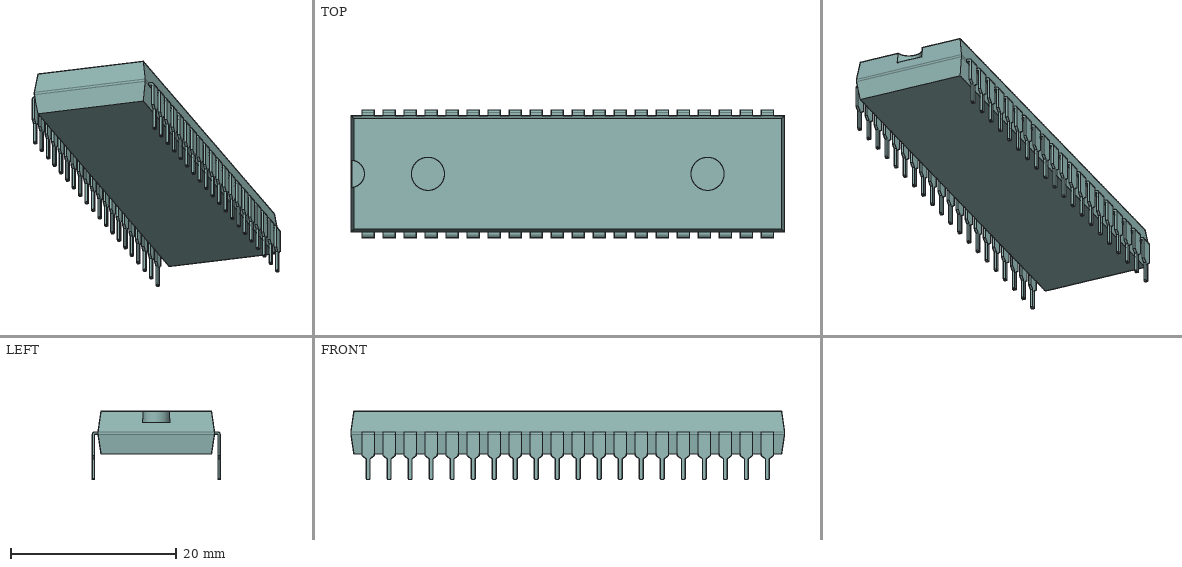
import cadquery as cq

BODY_LENGTH = 52.45
BODY_WIDTH = 14.1
BODY_TAPER = 0.36
UPPER_HEIGHT = 2.5
BAND_HEIGHT = 0.3
LOWER_HEIGHT = 2.4

NOTCH_RADIUS = 1.65
NOTCH_DEPTH = 1.4
MARK_DIAMETER = 4.0
MARK_SPACING = 33.8
MARK_DEPTH = 0.1

PINS_PER_SIDE = 20
PIN_PITCH = 2.54
LEAD_SPAN = 15.49
LEAD_THICKNESS = BAND_HEIGHT
BEND_RADIUS = 0.35
SHOULDER_WIDTH = 1.5
TIP_WIDTH = 0.5
TIP_CHAMFER = 0.12
PIN_HEIGHT = 5.78
SHOULDER_HEIGHT = 2.88
TAPER_HEIGHT = 0.4
LEAD_EMBED = 0.5

BAND_BOTTOM = LOWER_HEIGHT
BAND_TOP = BAND_BOTTOM + BAND_HEIGHT
BODY_TOP = BAND_TOP + UPPER_HEIGHT
PIN_BOTTOM = BAND_TOP - PIN_HEIGHT


def tapered_half(band_face_z, height):
    """Body half narrowing from the band to a flat face; negative height goes down."""
    return (
        cq.Workplane("XY", origin=(0, 0, band_face_z))
        .rect(BODY_LENGTH, BODY_WIDTH)
        .workplane(offset=height)
        .rect(BODY_LENGTH - 2 * BODY_TAPER, BODY_WIDTH - 2 * BODY_TAPER)
        .loft()
    )


def make_body():
    band = (
        cq.Workplane("XY", origin=(0, 0, BAND_BOTTOM))
        .rect(BODY_LENGTH, BODY_WIDTH)
        .extrude(BAND_HEIGHT)
    )
    upper = tapered_half(BAND_TOP, UPPER_HEIGHT)
    lower = tapered_half(BAND_BOTTOM, -LOWER_HEIGHT)
    return band.union(upper).union(lower)


def make_notch():
    return (
        cq.Workplane("XY", origin=(-BODY_LENGTH / 2, 0, BODY_TOP))
        .circle(NOTCH_RADIUS)
        .extrude(-NOTCH_DEPTH)
    )


def make_marks():
    return (
        cq.Workplane("XY", origin=(0, 0, BODY_TOP))
        .rarray(MARK_SPACING, 1, 2, 1)
        .circle(MARK_DIAMETER / 2)
        .extrude(-MARK_DEPTH)
    )


def make_lead():
    """Lead on the +Y side, centred on X = 0: a bent strip trimmed to the pin outline."""
    outer_y = LEAD_SPAN / 2
    inner_y = BODY_WIDTH / 2 - LEAD_EMBED
    inner_radius = BEND_RADIUS - LEAD_THICKNESS
    strip = (
        cq.Workplane("YZ")
        .moveTo(inner_y, BAND_TOP)
        .lineTo(outer_y - BEND_RADIUS, BAND_TOP)
        .radiusArc((outer_y, BAND_TOP - BEND_RADIUS), BEND_RADIUS)
        .lineTo(outer_y, PIN_BOTTOM)
        .lineTo(outer_y - LEAD_THICKNESS, PIN_BOTTOM)
        .lineTo(outer_y - LEAD_THICKNESS, BAND_TOP - BEND_RADIUS)
        .radiusArc((outer_y - BEND_RADIUS, BAND_BOTTOM), -inner_radius)
        .lineTo(inner_y, BAND_BOTTOM)
        .close()
        .extrude(SHOULDER_WIDTH / 2, both=True)
    )
    half_shoulder = SHOULDER_WIDTH / 2
    half_tip = TIP_WIDTH / 2
    taper_top = BAND_TOP - SHOULDER_HEIGHT
    taper_bottom = taper_top - TAPER_HEIGHT
    outline = (
        cq.Workplane("XZ")
        .moveTo(0, BAND_TOP)
        .lineTo(half_shoulder, BAND_TOP)
        .lineTo(half_shoulder, taper_top)
        .lineTo(half_tip, taper_bottom)
        .lineTo(half_tip, PIN_BOTTOM + TIP_CHAMFER)
        .lineTo(half_tip - TIP_CHAMFER, PIN_BOTTOM)
        .lineTo(0, PIN_BOTTOM)
        .mirrorY()
        .extrude(-LEAD_SPAN)
    )
    return strip.intersect(outline)


def add_leads(body):
    rear_lead = make_lead()
    front_lead = rear_lead.mirror("XZ")
    first_x = -(PINS_PER_SIDE - 1) * PIN_PITCH / 2
    for index in range(PINS_PER_SIDE):
        offset = (first_x + index * PIN_PITCH, 0, 0)
        body = body.union(rear_lead.translate(offset)).union(front_lead.translate(offset))
    return body


housing = make_body().cut(make_notch()).cut(make_marks())
result = add_leads(housing)